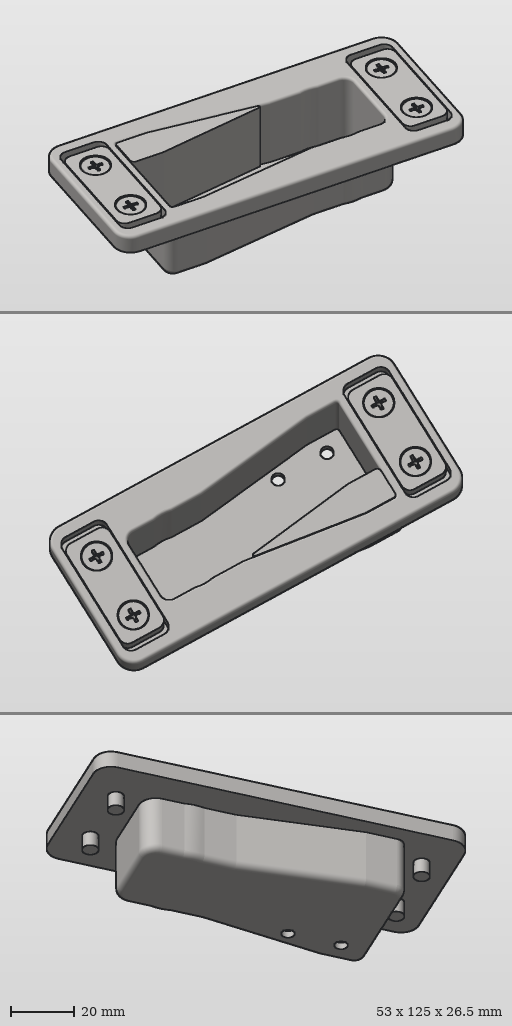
import cadquery as cq
import math

PLATE_LENGTH = 125.0
PLATE_WIDTH = 53.0
PLATE_THICKNESS = 6.5
PLATE_CORNER_RADIUS = 6.0
PLATE_EDGE_RADIUS = 1.1

TOTAL_HEIGHT = 26.5
PLATE_BOTTOM = TOTAL_HEIGHT - PLATE_THICKNESS
WALL = 2.5
CUP_EDGE_RADIUS = 2.2

CAVITY_HALF_LENGTH = 40.6
NECK_HALF_WIDTH = 13.0
MOUTH_HALF_WIDTH = 18.5
FLARE_START_Y = 12.2
FLARE_END_Y = -29.4
NECK_CORNER_RADIUS = 3.2
MOUTH_CORNER_RADIUS = 1.0
FINGER_RADIUS = 13.4
FINGER_Y = 26.5
CAVITY_EDGE_RADIUS = 1.0

FLOOR_HOLE_DIAMETER = 4.2
FLOOR_HOLE_X = 13.0
FLOOR_HOLE_YS = (-15.6, -33.5)

BLOCK_LENGTH = 38.8
BLOCK_WIDTH = 15.8
BLOCK_Y = 51.5
BLOCK_HEIGHT = 4.0
BLOCK_CORNER_RADIUS = 3.0
POCKET_LENGTH = 44.0
POCKET_WIDTH = 16.2
BLOCK_BOTTOM = TOTAL_HEIGHT - BLOCK_HEIGHT

SCREW_X = 11.5
SHANK_DIAMETER = 5.2
SHANK_PROTRUSION = 5.2
SCREW_BOTTOM = PLATE_BOTTOM - SHANK_PROTRUSION
COUNTERSINK_DIAMETER = 10.0
HEAD_DIAMETER = 9.4
COUNTERSINK_DEPTH = (COUNTERSINK_DIAMETER - SHANK_DIAMETER) / 2
HEAD_TOP = TOTAL_HEIGHT - (COUNTERSINK_DIAMETER - HEAD_DIAMETER) / 2
DRIVE_SPAN = 4.9
DRIVE_SLOT_WIDTH = 0.9
DRIVE_CORE_DIAMETER = 1.9
DRIVE_DEPTH = 2.0

WEDGE_TOP = 26.2
WEDGE_HEIGHT = WEDGE_TOP - WALL
WEDGE_TIP_Y = 8.5
WEDGE_TIP_WIDTH = 0.9
WEDGE_BASE_WIDTH = 11.2
WEDGE_CORNER_RADIUS = 1.5


def cavity_prism(offset, bottom, top):
    """Cavity outline grown outward by offset, filled from bottom to top."""
    half_length = CAVITY_HALF_LENGTH + offset
    neck = NECK_HALF_WIDTH + offset
    mouth = MOUTH_HALF_WIDTH + offset
    flare_angle = math.atan2(MOUTH_HALF_WIDTH - NECK_HALF_WIDTH, FLARE_START_Y - FLARE_END_Y)
    kink_shift = offset * math.tan(flare_angle / 2)
    flare_start = FLARE_START_Y + kink_shift
    flare_end = FLARE_END_Y + kink_shift
    right_side = [(neck, half_length), (neck, flare_start), (mouth, flare_end), (mouth, -half_length)]
    left_side = [(-x, y) for x, y in reversed(right_side)]
    height = top - bottom
    outline = cq.Workplane("XY").workplane(offset=bottom).polyline(right_side + left_side).close()
    body = outline.extrude(height)
    body = body.edges("|Z and >Y").fillet(NECK_CORNER_RADIUS + offset)
    body = body.edges("|Z and <Y").fillet(MOUTH_CORNER_RADIUS + offset)
    finger = cq.Workplane("XY", origin=(0, FINGER_Y, bottom)).circle(FINGER_RADIUS + offset).extrude(height)
    return body.union(finger)


def rounded_block(length, width, height, radius, y, bottom):
    block = cq.Workplane("XY", origin=(0, y, bottom)).rect(length, width).extrude(height)
    return block.edges("|Z").fillet(radius)


def screw_blank(x, y, top):
    """Shank below a 90 degree cone that is cut off flat at height top."""
    cone_bottom = TOTAL_HEIGHT - COUNTERSINK_DEPTH
    shank_radius = SHANK_DIAMETER / 2
    top_radius = shank_radius + top - cone_bottom
    profile = [(0, SCREW_BOTTOM), (shank_radius, SCREW_BOTTOM), (shank_radius, cone_bottom),
               (top_radius, top), (0, top)]
    blank = cq.Workplane("XZ").polyline(profile).close().revolve(360, (0, 0, 0), (0, 1, 0))
    return blank.translate((x, y, 0))


def drive_recess():
    """Cross recess whose arms slope down to a central core."""
    half_span = DRIVE_SPAN / 2
    core_radius = DRIVE_CORE_DIAMETER / 2
    floor = HEAD_TOP - DRIVE_DEPTH
    arm_profile = [(-half_span, HEAD_TOP), (half_span, HEAD_TOP), (core_radius, floor), (-core_radius, floor)]
    arm = cq.Workplane("XZ").polyline(arm_profile).close().extrude(DRIVE_SLOT_WIDTH / 2, both=True)
    core_profile = [(0, HEAD_TOP), (core_radius, HEAD_TOP), (core_radius, floor), (0, floor - core_radius)]
    core = cq.Workplane("XZ").polyline(core_profile).close().revolve(360, (0, 0, 0), (0, 1, 0))
    return arm.union(arm.rotate((0, 0, 0), (0, 0, 1), 90)).union(core)


def make_housing():
    plate = rounded_block(PLATE_WIDTH, PLATE_LENGTH, PLATE_THICKNESS, PLATE_CORNER_RADIUS, 0, PLATE_BOTTOM)
    plate = plate.faces(">Z").edges().fillet(PLATE_EDGE_RADIUS)
    cup = cavity_prism(WALL, 0, PLATE_BOTTOM).faces("<Z").edges().fillet(CUP_EDGE_RADIUS)
    cavity = cavity_prism(0, WALL, TOTAL_HEIGHT)
    housing = plate.union(cup).cut(cavity)
    opening = housing.faces(">Z").val().innerWires()[0]
    housing = cq.Workplane(housing.val().fillet(CAVITY_EDGE_RADIUS, opening.Edges()))
    hole_centers = [(FLOOR_HOLE_X, y) for y in FLOOR_HOLE_YS]
    floor_holes = cq.Workplane("XY").pushPoints(hole_centers).circle(FLOOR_HOLE_DIAMETER / 2).extrude(WALL)
    housing = housing.cut(floor_holes)
    for y in (-BLOCK_Y, BLOCK_Y):
        housing = housing.cut(rounded_block(POCKET_LENGTH, POCKET_WIDTH, BLOCK_HEIGHT,
                                            BLOCK_CORNER_RADIUS, y, BLOCK_BOTTOM))
        for x in (-SCREW_X, SCREW_X):
            housing = housing.cut(screw_blank(x, y, TOTAL_HEIGHT))
    return housing


def make_clamp_block(y):
    block = rounded_block(BLOCK_LENGTH, BLOCK_WIDTH, BLOCK_HEIGHT, BLOCK_CORNER_RADIUS, y, BLOCK_BOTTOM)
    for x in (-SCREW_X, SCREW_X):
        block = block.cut(screw_blank(x, y, TOTAL_HEIGHT))
    return block


def make_screw(x, y):
    return screw_blank(x, y, HEAD_TOP).cut(drive_recess().translate((x, y, 0)))


def make_wedge():
    """Prism between the left cavity wall and a line that leans the other way."""
    flare_slope = (MOUTH_HALF_WIDTH - NECK_HALF_WIDTH) / (FLARE_START_Y - FLARE_END_Y)
    tip_left = -NECK_HALF_WIDTH - flare_slope * (FLARE_START_Y - WEDGE_TIP_Y)
    base_left = -MOUTH_HALF_WIDTH
    base_right = base_left + WEDGE_BASE_WIDTH
    outline = [(tip_left, WEDGE_TIP_Y), (base_left, FLARE_END_Y), (base_left, -CAVITY_HALF_LENGTH),
               (base_right, -CAVITY_HALF_LENGTH), (base_right, FLARE_END_Y),
               (tip_left + WEDGE_TIP_WIDTH, WEDGE_TIP_Y)]
    wedge = cq.Workplane("XY").workplane(offset=WALL).polyline(outline).close()
    wedge = wedge.extrude(WEDGE_HEIGHT)
    wedge = wedge.edges("|Z").edges("<Y").edges("<X").fillet(MOUTH_CORNER_RADIUS)
    return wedge.edges("|Z and <Y").edges(">X").fillet(WEDGE_CORNER_RADIUS)


housing = make_housing()
clamp_blocks = [make_clamp_block(y) for y in (-BLOCK_Y, BLOCK_Y)]
screws = [make_screw(x, y) for y in (-BLOCK_Y, BLOCK_Y) for x in (-SCREW_X, SCREW_X)]
wedge = make_wedge()

result = cq.Compound.makeCompound([
    housing.val(),
    *[block.val() for block in clamp_blocks],
    *[screw.val() for screw in screws],
    wedge.val(),
])